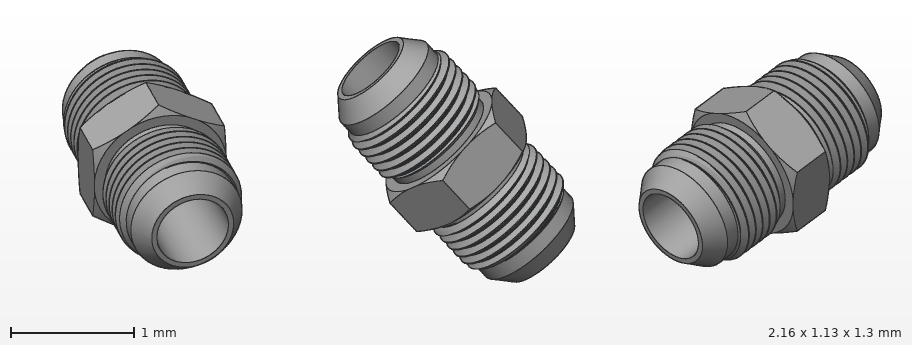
import cadquery as cq
import math

total_length = 2.16
body_diameter = 0.95
bore_diameter = 0.61

cone_length = 0.166
cone_angle = 37.0

hex_sides = 6
hex_across_flats = 1.125
hex_width = 0.4375
hex_chamfer_angle = 30.0
hex_face_diameter = 1.13

thread_major_diameter = 1.0625
thread_pitch = 1 / 12
thread_start = 0.284
thread_end = 0.789
thread_crest_width = thread_pitch / 8
thread_flank_angle = 30.0
thread_root_sink = 0.003
thread_crest_position = 0.406

half_length = total_length / 2
body_radius = body_diameter / 2
bore_radius = bore_diameter / 2
thread_radius = thread_major_diameter / 2
thread_root_radius = body_radius - thread_root_sink


def make_body():
    """Cylinder with a flare cone on each end."""
    cone_start = half_length - cone_length
    tip_radius = body_radius - cone_length * math.tan(math.radians(cone_angle))
    return (
        cq.Workplane("XY")
        .moveTo(-half_length, 0)
        .lineTo(-half_length, tip_radius)
        .lineTo(-cone_start, body_radius)
        .lineTo(cone_start, body_radius)
        .lineTo(half_length, tip_radius)
        .lineTo(half_length, 0)
        .close()
        .revolve(360, (0, 0, 0), (1, 0, 0))
    )


def make_hexagon():
    """Hexagonal prism with conically chamfered corners."""
    across_corners = hex_across_flats / math.cos(math.pi / hex_sides)
    corner_radius = across_corners / 2
    half_width = hex_width / 2
    face_radius = hex_face_diameter / 2
    chamfer_depth = (corner_radius - face_radius) * math.tan(math.radians(hex_chamfer_angle))
    prism = (
        cq.Workplane("YZ")
        .polygon(hex_sides, across_corners)
        .extrude(half_width, both=True)
        .rotate((0, 0, 0), (1, 0, 0), 90)
    )
    envelope = (
        cq.Workplane("XY")
        .moveTo(-half_width, 0)
        .lineTo(-half_width, face_radius)
        .lineTo(chamfer_depth - half_width, corner_radius)
        .lineTo(half_width - chamfer_depth, corner_radius)
        .lineTo(half_width, face_radius)
        .lineTo(half_width, 0)
        .close()
        .revolve(360, (0, 0, 0), (1, 0, 0))
    )
    return prism.intersect(envelope)


def make_thread_groove():
    """Helical V groove around X that leaves a crest at thread_crest_position on the +Z side."""
    overshoot = thread_crest_width / 2
    outer_radius = thread_radius + overshoot
    flank_slope = math.tan(math.radians(thread_flank_angle))
    crest_half_gap = (thread_pitch - thread_crest_width) / 2
    root_half_gap = crest_half_gap - (thread_radius - thread_root_radius) * flank_slope
    outer_half_gap = root_half_gap + (outer_radius - thread_root_radius) * flank_slope

    lead_in_crests = math.ceil((thread_crest_position - thread_start) / thread_pitch) + 1
    helix_start = thread_crest_position - (lead_in_crests - 0.5) * thread_pitch
    helix_length = thread_end + thread_pitch - helix_start

    helix = cq.Wire.makeHelix(thread_pitch, helix_length, thread_root_radius)
    groove = (
        cq.Workplane("XZ")
        .moveTo(thread_root_radius, -root_half_gap)
        .lineTo(outer_radius, -outer_half_gap)
        .lineTo(outer_radius, outer_half_gap)
        .lineTo(thread_root_radius, root_half_gap)
        .close()
        .sweep(cq.Workplane(obj=helix), isFrenet=True)
    )
    return (
        groove.rotate((0, 0, 0), (0, 1, 0), 90)
        .rotate((0, 0, 0), (1, 0, 0), 180)
        .translate((helix_start, 0, 0))
    )


def make_thread():
    """Threaded rod on the +X side, cut to 45 degree chamfers at both ends."""
    rod = (
        cq.Workplane("YZ")
        .workplane(offset=thread_start - thread_pitch)
        .circle(thread_radius)
        .extrude(thread_end - thread_start + 2 * thread_pitch)
        .cut(make_thread_groove())
    )
    trim_margin = thread_pitch / 2
    inner_radius = body_radius - trim_margin
    outer_radius = thread_radius + trim_margin
    rise = outer_radius - body_radius
    trim = (
        cq.Workplane("XY")
        .moveTo(thread_start - trim_margin, 0)
        .lineTo(thread_start - trim_margin, inner_radius)
        .lineTo(thread_start + rise, outer_radius)
        .lineTo(thread_end - rise, outer_radius)
        .lineTo(thread_end + trim_margin, inner_radius)
        .lineTo(thread_end + trim_margin, 0)
        .close()
        .revolve(360, (0, 0, 0), (1, 0, 0))
    )
    return rod.intersect(trim)


thread = make_thread()
opposite_thread = thread.rotate((0, 0, 0), (0, 1, 0), 180)
bore = cq.Workplane("YZ").circle(bore_radius).extrude(half_length, both=True)

result = make_body().union(make_hexagon()).union(thread).union(opposite_thread).cut(bore)